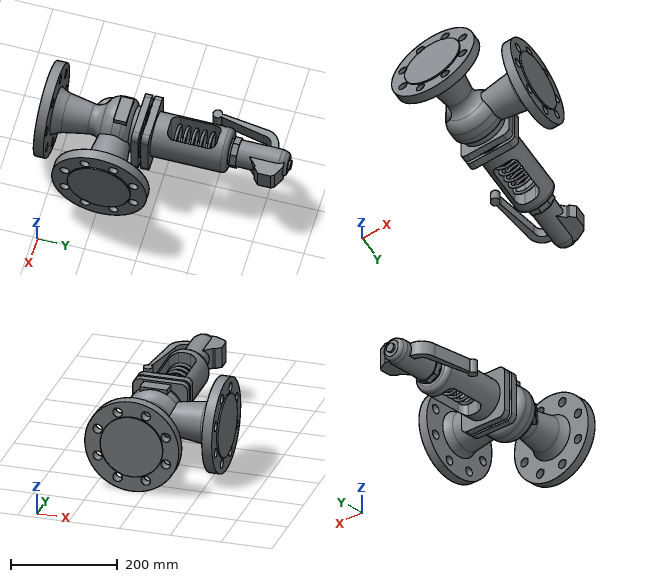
import cadquery as cq
import math


FLANGE_RADIUS = 92.5
FLANGE_THICKNESS = 19.5
FACE_RADIUS = 61.5
FACE_HEIGHT = 3.0
BOLT_COUNT = 8
BOLT_CIRCLE_RADIUS = 72.5
BOLT_HOLE_RADIUS = 9.0
FLANGE_BACK = FACE_HEIGHT + FLANGE_THICKNESS
FLARE_ROOT_RADIUS = 47.0
CENTRE_TO_FACE = 145.0

INLET_FLARE_LENGTH = 20.0
INLET_FLARE_RADIUS = 38.0
INLET_FLARE_MIDDLE = (41.0, 33.0)
THROAT_RADIUS = 29.2
THROAT_BOTTOM = 91.5
WAIST_RADIUS = 41.0
WAIST_Y = 117.5
BELLY_RADIUS = 55.5
BELLY_BOTTOM = 140.5
BELLY_TOP = 157.0
SHOULDER_RADIUS = 17.5
COLLAR_RADIUS = 44.0

OUTLET_FLARE_LENGTH = 18.5
OUTLET_FLARE_RADIUS = 40.8
OUTLET_ROOT_RADIUS = 26.5

DRAIN_RADIUS = 19.5
DRAIN_TILT = 36
DRAIN_FACE_X = -39.5
DRAIN_FACE_Y = 109.5
DRAIN_LENGTH = 38.5

PAD_HALF_WIDTH = 27.0
PAD_BOTTOM = 141.0
PAD_HEIGHT = 25.0
PAD_TOP_Z = 58.5

PLATE_WIDTH = 108.0
PLATE_CORNER_RADIUS = 13.5
LOWER_PLATE_BOTTOM = 182.5
LOWER_PLATE_TOP = 196.0
UPPER_PLATE_BOTTOM = 201.5
UPPER_PLATE_TOP = 216.3
GASKET_RADIUS = 50.5
GASKET_TOP = 198.5
SPIGOT_RADIUS = 48

BONNET_RADIUS = 43
BONNET_TOP = 362.5
BONNET_FILLET = 9.5
WINDOW_WIDTH = 52.7
WINDOW_BOTTOM = 243.0
WINDOW_LENGTH = 96
WINDOW_CORNER_RADIUS = 14.5

COIL_COUNT = 5
COIL_RADIUS = 25.5
WIRE_RADIUS = 3.0
FIRST_COIL_Y = 258.5
LAST_COIL_Y = 323.0
COIL_PITCH = (LAST_COIL_Y - FIRST_COIL_Y) / (COIL_COUNT - 1)

NUT_RADIUS = 29.5
NUT_SIDES = 8
NUT_BOTTOM = 366.5
NUT_TOP = 379
CAP_RADIUS = 26.0
CAP_TAPER_BOTTOM = 459.5
CAP_TAPER_TOP = 468.0
CAP_TAPER_RADIUS = 23.5
CAP_TOP = 475.0
CAP_TOP_RADIUS = 17.0
KNOB_RADIUS = 9.0
KNOB_TOP = 479.5

LEVER_THICKNESS = 28.0
LEVER_BEND_X = -22.5
LEVER_BEND_Y = 415.0
LEVER_OUTER_RADIUS = 33.5
LEVER_INNER_RADIUS = 19
LEVER_TIP_X = -65.0
LEVER_TIP_Y = 319.0
LEVER_TIP_RADIUS = 9.0
LEVER_END_Y = 331
LEVER_END_OUTER_X = -67
LEVER_END_INNER_X = -59.5

LUG_THICKNESS = 41.0
LUG_TOP = 469.5
LUG_BOTTOM = 403
LUG_OUTER_X = 46.5
LUG_OUTLINE = [
    (0, LUG_BOTTOM),
    (0, LUG_TOP),
    (21.5, LUG_TOP),
    (42.0, 459.0),
    (LUG_OUTER_X, 452.5),
    (LUG_OUTER_X, 427.0),
    (35.5, 417.5),
    (31.0, 417.5),
    (15.5, LUG_BOTTOM),
]


def along_y(radius, bottom, top):
    """Cylinder on the spindle axis."""
    return cq.Workplane("XZ", origin=(0, bottom, 0)).circle(radius).extrude(bottom - top)


def flange():
    """Flange on the Y axis with its sealing face at Y = 0, bolt holes straddling the axes."""
    disc = along_y(FACE_RADIUS, 0, FLANGE_BACK).union(along_y(FLANGE_RADIUS, FACE_HEIGHT, FLANGE_BACK))
    holes = (
        cq.Workplane("XZ")
        .polarArray(BOLT_CIRCLE_RADIUS, 180 / BOLT_COUNT, 360, BOLT_COUNT)
        .circle(BOLT_HOLE_RADIUS)
        .extrude(-FLANGE_BACK)
    )
    return disc.cut(holes)


def body():
    """Inlet neck, throat, rounded belly and collar turned about the spindle axis."""
    flare_top = FLANGE_BACK + INLET_FLARE_LENGTH
    shoulder_x = BELLY_RADIUS - SHOULDER_RADIUS
    shoulder_middle = SHOULDER_RADIUS * math.sin(math.pi / 4)
    profile = (
        cq.Workplane("XY")
        .moveTo(0, LOWER_PLATE_BOTTOM)
        .lineTo(0, FLANGE_BACK)
        .lineTo(FLARE_ROOT_RADIUS, FLANGE_BACK)
        .threePointArc(INLET_FLARE_MIDDLE, (INLET_FLARE_RADIUS, flare_top))
        .lineTo(THROAT_RADIUS, THROAT_BOTTOM)
        .tangentArcPoint((WAIST_RADIUS, WAIST_Y), relative=False)
        .tangentArcPoint((BELLY_RADIUS, BELLY_BOTTOM), relative=False)
        .lineTo(BELLY_RADIUS, BELLY_TOP)
        .threePointArc(
            (shoulder_x + shoulder_middle, BELLY_TOP + shoulder_middle),
            (shoulder_x, BELLY_TOP + SHOULDER_RADIUS),
        )
        .lineTo(shoulder_x, LOWER_PLATE_BOTTOM)
        .close()
    )
    turned = profile.revolve(360, (0, 0), (0, 1))
    return turned.union(along_y(COLLAR_RADIUS, BELLY_TOP, LOWER_PLATE_BOTTOM))


def outlet():
    """Conical outlet neck along +X with its flange."""
    flange_back_x = CENTRE_TO_FACE - FLANGE_BACK
    flare_x = flange_back_x - OUTLET_FLARE_LENGTH
    neck = (
        cq.Workplane("XY", origin=(0, CENTRE_TO_FACE, 0))
        .lineTo(0, OUTLET_ROOT_RADIUS)
        .lineTo(flare_x, OUTLET_FLARE_RADIUS)
        .tangentArcPoint((flange_back_x, FLARE_ROOT_RADIUS), relative=False)
        .lineTo(flange_back_x, 0)
        .close()
        .revolve(360, (0, 0), (1, 0))
    )
    outlet_flange = flange().rotate((0, 0, 0), (0, 0, 1), 90).translate((CENTRE_TO_FACE, CENTRE_TO_FACE, 0))
    return neck.union(outlet_flange)


def drain_boss():
    """Slanted round boss low on the -X side of the belly."""
    tilt = math.radians(DRAIN_TILT)
    inward = cq.Vector(math.cos(tilt), math.sin(tilt), 0)
    face_centre = cq.Vector(DRAIN_FACE_X, DRAIN_FACE_Y, 0)
    return cq.Workplane(cq.Solid.makeCylinder(DRAIN_RADIUS, DRAIN_LENGTH, face_centre, inward))


def name_pad():
    """Flat rectangular pad on the +Z side of the belly."""
    return (
        cq.Workplane("XY")
        .rect(2 * PAD_HALF_WIDTH, PAD_HEIGHT)
        .extrude(PAD_TOP_Z)
        .translate((0, PAD_BOTTOM + PAD_HEIGHT / 2, 0))
    )


def square_plate(bottom, top):
    """Square plate with rounded corners across the spindle axis."""
    return (
        cq.Workplane("XZ", origin=(0, bottom, 0))
        .rect(PLATE_WIDTH, PLATE_WIDTH)
        .extrude(bottom - top)
        .edges("|Y")
        .fillet(PLATE_CORNER_RADIUS)
    )


def bonnet():
    """Round bonnet with a window through it along Z, bridged by the spring coils."""
    shell = along_y(BONNET_RADIUS, UPPER_PLATE_TOP, BONNET_TOP).faces(">Y").edges().fillet(BONNET_FILLET)
    window = (
        cq.Workplane("XY", origin=(0, WINDOW_BOTTOM + WINDOW_LENGTH / 2, 0))
        .rect(WINDOW_WIDTH, WINDOW_LENGTH)
        .extrude(BONNET_RADIUS, both=True)
        .edges("|Z")
        .fillet(WINDOW_CORNER_RADIUS)
    )
    part = shell.cut(window)
    for i in range(COIL_COUNT):
        coil_centre = cq.Vector(0, FIRST_COIL_Y + i * COIL_PITCH, 0)
        part = part.union(
            cq.Workplane(cq.Solid.makeTorus(COIL_RADIUS, WIRE_RADIUS, coil_centre, cq.Vector(0, 1, 0)))
        )
    return part


def nut():
    """Octagonal lock nut with corners on the X and Z axes."""
    return (
        cq.Workplane("XZ", origin=(0, NUT_BOTTOM, 0))
        .polygon(NUT_SIDES, 2 * NUT_RADIUS)
        .extrude(NUT_BOTTOM - NUT_TOP)
    )


def cap():
    """Cap with a tapered shoulder, rounded rim and small top knob."""
    turned = (
        cq.Workplane("XY")
        .moveTo(0, BONNET_TOP)
        .lineTo(CAP_RADIUS, BONNET_TOP)
        .lineTo(CAP_RADIUS, CAP_TAPER_BOTTOM)
        .lineTo(CAP_TAPER_RADIUS, CAP_TAPER_TOP)
        .tangentArcPoint((CAP_TOP_RADIUS, CAP_TOP), relative=False)
        .lineTo(0, CAP_TOP)
        .close()
        .revolve(360, (0, 0), (0, 1))
    )
    return turned.union(along_y(KNOB_RADIUS, CAP_TOP, KNOB_TOP))


def lever():
    """Bent lifting lever of constant thickness with a round tip."""
    diagonal = math.sin(math.pi / 4)

    def bend_middle(radius):
        return (LEVER_BEND_X - radius * diagonal, LEVER_BEND_Y + radius * diagonal)

    arm = (
        cq.Workplane("XY")
        .moveTo(0, LEVER_BEND_Y + LEVER_OUTER_RADIUS)
        .lineTo(LEVER_BEND_X, LEVER_BEND_Y + LEVER_OUTER_RADIUS)
        .threePointArc(bend_middle(LEVER_OUTER_RADIUS), (LEVER_BEND_X - LEVER_OUTER_RADIUS, LEVER_BEND_Y))
        .lineTo(LEVER_END_OUTER_X, LEVER_END_Y)
        .lineTo(LEVER_TIP_X, LEVER_TIP_Y)
        .lineTo(LEVER_END_INNER_X, LEVER_END_Y)
        .lineTo(LEVER_BEND_X - LEVER_INNER_RADIUS, LEVER_BEND_Y)
        .threePointArc(bend_middle(LEVER_INNER_RADIUS), (LEVER_BEND_X, LEVER_BEND_Y + LEVER_INNER_RADIUS))
        .lineTo(0, LEVER_BEND_Y + LEVER_INNER_RADIUS)
        .close()
        .extrude(LEVER_THICKNESS / 2, both=True)
    )
    tip = (
        cq.Workplane("XY", origin=(LEVER_TIP_X, LEVER_TIP_Y, 0))
        .circle(LEVER_TIP_RADIUS)
        .extrude(LEVER_THICKNESS / 2, both=True)
    )
    return arm.union(tip)


def lug():
    """Lever housing on the +X side of the cap."""
    return cq.Workplane("XY").polyline(LUG_OUTLINE).close().extrude(LUG_THICKNESS / 2, both=True)


sections = [
    body(),
    outlet(),
    drain_boss(),
    name_pad(),
    square_plate(LOWER_PLATE_BOTTOM, LOWER_PLATE_TOP),
    along_y(GASKET_RADIUS, LOWER_PLATE_TOP, GASKET_TOP),
    along_y(SPIGOT_RADIUS, GASKET_TOP, UPPER_PLATE_BOTTOM),
    square_plate(UPPER_PLATE_BOTTOM, UPPER_PLATE_TOP),
    bonnet(),
    nut(),
    cap(),
    lever(),
    lug(),
]
result = flange()
for section in sections:
    result = result.union(section)